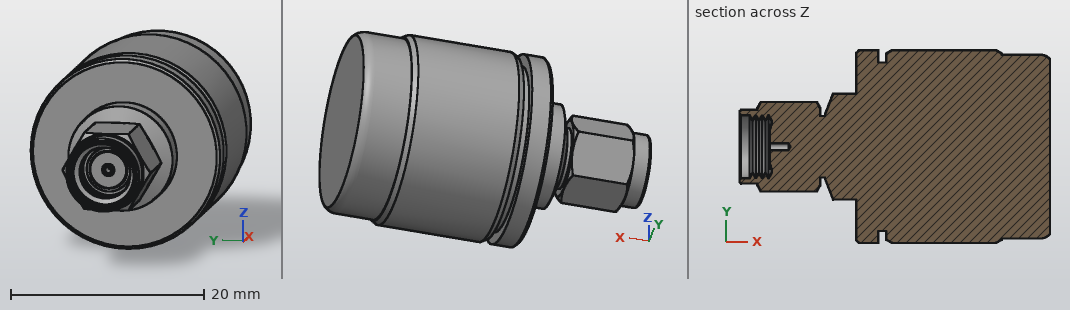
import cadquery as cq
import math


nut_tip_radius = 3.85
nut_tip_chamfer = 0.2
hex_start = 1.85
hex_end = 8.4
hex_across_flats = 8.05
hex_chamfer_radius = 4.0
hex_chamfer_angle = 30

neck_radius = 3.2
collar_start = 8.85
collar_start_radius = 3.3
collar_cone_end = 9.7
collar_radius = 5.5

flange_start = 12.1
flange_end = 14.4
flange_chamfer = 0.3
body_radius = 10.0
groove_radius = 8.75
sleeve_start = 15.2
sleeve_end = 27.2
sleeve_bevel_length = 0.6
sleeve_bevel_angle = 30

barrel_radius = 9.55
barrel_end_radius = 9.05
barrel_round_length = 1.05
overall_length = 32.2

mouth_radius = 3.44
mouth_chamfer_length = 0.2
thread_root_radius = 3.25
thread_crest_radius = 2.68
thread_flank_angle = 30
thread_start = 1.05
thread_count = 4

insulator_base_radius = 2.3
insulator_base_height = 0.1
insulator_radius = 2.0
insulator_chamfer = 0.1

contact_radius = 0.64
contact_chamfer = 0.08
contact_hole_mouth_radius = 0.43
contact_hole_radius = 0.34
contact_hole_depth = 2.0
drill_point_angle = 30

sleeve_bevel_height = sleeve_bevel_length * math.tan(math.radians(sleeve_bevel_angle))
flank_length = (thread_root_radius - thread_crest_radius) * math.tan(math.radians(thread_flank_angle))
thread_pitch = 2 * flank_length
socket_floor = thread_start + (thread_count - 1) * thread_pitch + flank_length
insulator_base_face = socket_floor - insulator_base_height
insulator_face = insulator_base_face - insulator_chamfer
contact_face = insulator_face - contact_chamfer


def revolved(profile):
    """Turn a closed (x, radius) profile into a solid about the X axis."""
    return profile.close().revolve(360, (0, 0, 0), (1, 0, 0))


def turned(points):
    """Solid turned about X from (x, radius) points running in +X."""
    first_x = points[0][0]
    last_x, last_radius = points[-1]
    outline = [(first_x, 0)] + points
    if last_radius > 0:
        outline.append((last_x, 0))
    return revolved(cq.Workplane("XY").polyline(outline))


def make_body():
    """Outer turned shape, from the nut tip to the rounded rear end."""
    outline = [
        (0, 0),
        (0, nut_tip_radius - nut_tip_chamfer),
        (nut_tip_chamfer, nut_tip_radius),
        (hex_start, nut_tip_radius),
        (hex_start, neck_radius),
        (collar_start, neck_radius),
        (collar_start, collar_start_radius),
        (collar_cone_end, collar_radius),
        (flange_start, collar_radius),
        (flange_start, body_radius - flange_chamfer),
        (flange_start + flange_chamfer, body_radius),
        (flange_end, body_radius),
        (flange_end, groove_radius),
        (sleeve_start, groove_radius),
        (sleeve_start, body_radius - sleeve_bevel_height),
        (sleeve_start + sleeve_bevel_length, body_radius),
        (sleeve_end - sleeve_bevel_length, body_radius),
        (sleeve_end, body_radius - sleeve_bevel_height),
        (sleeve_end, barrel_radius),
        (overall_length - barrel_round_length, barrel_radius),
    ]
    profile = (
        cq.Workplane("XY")
        .polyline(outline)
        .tangentArcPoint((overall_length, barrel_end_radius), relative=False)
        .lineTo(overall_length, 0)
    )
    return revolved(profile)


def make_hex():
    """Hexagon of the coupling nut, with its corners turned off at both ends."""
    corner_radius = hex_across_flats / math.sqrt(3)
    prism = (
        cq.Workplane("YZ", origin=(hex_start, 0, 0))
        .polygon(6, 2 * corner_radius)
        .extrude(hex_end - hex_start)
    )
    corner_height = corner_radius - hex_chamfer_radius
    chamfer_length = corner_height * math.tan(math.radians(hex_chamfer_angle))
    envelope = turned([
        (hex_start, hex_chamfer_radius),
        (hex_start + chamfer_length, corner_radius),
        (hex_end - chamfer_length, corner_radius),
        (hex_end, hex_chamfer_radius),
    ])
    return prism.intersect(envelope)


def make_socket():
    """Cavity of the small plug: chamfered mouth, then V-shaped thread rings down to the floor."""
    points = [(0, mouth_radius), (mouth_chamfer_length, thread_root_radius)]
    for tooth in range(thread_count):
        root_x = thread_start + tooth * thread_pitch
        points.append((root_x, thread_root_radius))
        points.append((root_x + flank_length, thread_crest_radius))
    return turned(points)


def make_insulator():
    """Low step on the socket floor carrying the chamfered insulator."""
    return turned([
        (insulator_face, insulator_radius - insulator_chamfer),
        (insulator_base_face, insulator_radius),
        (insulator_base_face, insulator_base_radius),
        (socket_floor, insulator_base_radius),
    ])


def make_contact():
    """Chamfered tip of the centre contact."""
    return turned([
        (contact_face, contact_radius - contact_chamfer),
        (insulator_face, contact_radius),
        (socket_floor, contact_radius),
    ])


def make_contact_hole():
    """Hole in the centre contact, with a lead-in chamfer and a drill point."""
    lead_in = contact_hole_mouth_radius - contact_hole_radius
    hole_end = contact_face + contact_hole_depth
    point_length = contact_hole_radius * math.tan(math.radians(drill_point_angle))
    return turned([
        (contact_face, contact_hole_mouth_radius),
        (contact_face + lead_in, contact_hole_radius),
        (hole_end, contact_hole_radius),
        (hole_end + point_length, 0),
    ])


result = (
    make_body()
    .union(make_hex())
    .cut(make_socket())
    .union(make_insulator())
    .union(make_contact())
    .cut(make_contact_hole())
)